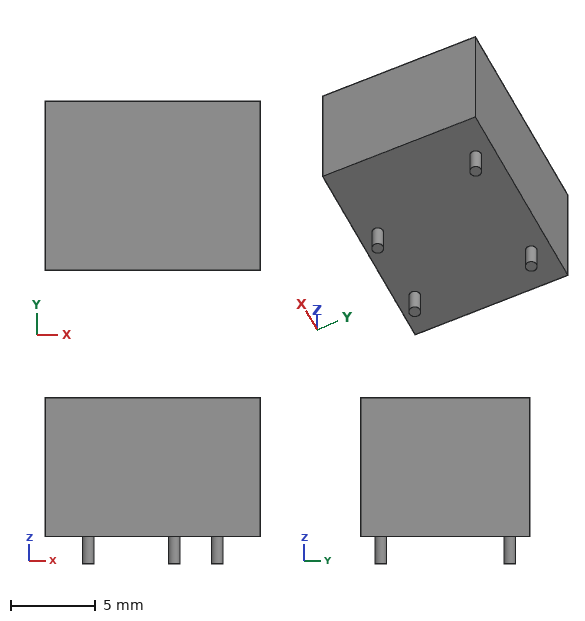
import cadquery as cq

case_length = 12.7
case_width = 10.0
case_height = 8.2

pin_diameter = 0.7
pin_length = 1.6
pin_pitch = 2.54
row_offset = 1.5 * pin_pitch

front_columns = [-1.5, 0.5]
back_columns = [-1.5, 1.5]


def make_case():
    return cq.Workplane("XY").box(case_length, case_width, case_height, centered=(True, True, False))


def make_pins():
    front_row = [(column * pin_pitch, -row_offset) for column in front_columns]
    back_row = [(column * pin_pitch, row_offset) for column in back_columns]
    return (
        cq.Workplane("XY")
        .pushPoints(front_row + back_row)
        .circle(pin_diameter / 2)
        .extrude(-pin_length)
    )


result = make_case().union(make_pins())